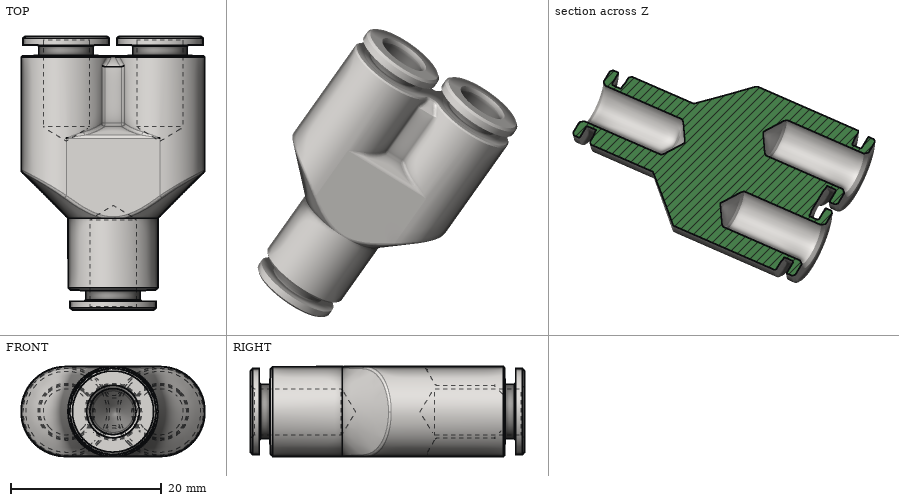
import cadquery as cq
import math

total_length = 36.5
total_width = 24.5
tube_radius = 6.0
port_offset = total_width / 2 - tube_radius

collar_length = 2.65
body_start = collar_length
body_end = total_length - collar_length
cone_start = 12.25
cone_tip = cone_start - tube_radius
cone_edge_radius = 0.5
single_end_chamfer = 0.35
twin_end_chamfer = 0.2

web_half_thickness = 3.5
channel_start = 22.9
channel_wall_angle = 60.0
channel_fillet = 0.5
web_slope_start = 32.4

flange_radius = 5.75
flange_thickness = 1.2
flange_face_radius = 5.4
flange_chamfer_length = 0.3
neck_radius = 3.65
neck_chamfer = 0.15
seat_radius = 4.0
seat_base_radius = 4.6
seat_height = 0.1

mouth_radius = 3.5
mouth_depth = 0.5
bore_radius = 3.07
stop_radius = 2.75
bore_depth = 12.0
drill_half_angle = 59.0


def revolve_about_y(points):
    """Revolve a closed (radius, y) outline about the Y axis."""
    return cq.Workplane("XY").polyline(points).close().revolve(360, (0, 0, 0), (0, 1, 0))


def make_single_tube():
    """Plain tube body of the single port, chamfered at its free end."""
    return (
        cq.Workplane("XZ", origin=(0, body_start, 0))
        .circle(tube_radius)
        .extrude(body_start - cone_start)
        .faces("<Y")
        .chamfer(single_end_chamfer)
    )


def make_twin_block():
    """Flat-sided block around both twin tubes, trimmed to a rounded-edge cone at its -Y end."""
    block = (
        cq.Workplane("XZ", origin=(0, cone_tip, 0))
        .slot2D(total_width, 2 * tube_radius)
        .extrude(cone_tip - body_end)
    )
    cone_end_radius = body_end - cone_tip
    cone = revolve_about_y([(0, cone_tip), (cone_end_radius, body_end), (0, body_end)])
    cone_limit = cone_tip + total_width / 2
    cone_edges = cq.selectors.BoxSelector(
        (-total_width, cone_tip, -total_width), (total_width, cone_limit, total_width)
    )
    trimmed_block = block.intersect(cone)
    return trimmed_block.edges(cone_edges).edges("not %LINE").fillet(cone_edge_radius)


def make_channel():
    """Space above the web and between the twin tubes, on the +Z side."""
    angle = math.radians(channel_wall_angle)
    corner_setback = channel_fillet * math.tan(angle / 2)
    arc_run = channel_fillet * math.sin(angle)
    arc_drop = channel_fillet * (1 - math.cos(angle))
    mid_run = channel_fillet * math.sin(angle / 2)
    mid_drop = channel_fillet * (1 - math.cos(angle / 2))
    wall_run = (tube_radius - web_half_thickness) / math.tan(angle)
    floor_start = channel_start + wall_run + 2 * corner_setback
    slope_drop = body_end - web_slope_start
    side_profile = (
        cq.Workplane("YZ", origin=(-port_offset, 0, 0))
        .moveTo(channel_start, tube_radius)
        .threePointArc(
            (channel_start + mid_run, tube_radius - mid_drop),
            (channel_start + arc_run, tube_radius - arc_drop),
        )
        .lineTo(floor_start - arc_run, web_half_thickness + arc_drop)
        .threePointArc(
            (floor_start - mid_run, web_half_thickness + mid_drop),
            (floor_start, web_half_thickness),
        )
        .lineTo(web_slope_start, web_half_thickness)
        .lineTo(body_end, web_half_thickness - slope_drop)
        .lineTo(body_end, tube_radius)
        .close()
        .extrude(2 * port_offset)
    )
    gap_half_width = port_offset - tube_radius
    diagonal = tube_radius * math.sqrt(0.5)
    gap_between_tubes = (
        cq.Workplane("XZ", origin=(0, cone_start, 0))
        .moveTo(-port_offset, tube_radius)
        .threePointArc((-port_offset + diagonal, diagonal), (-gap_half_width, 0))
        .lineTo(gap_half_width, 0)
        .threePointArc((port_offset - diagonal, diagonal), (port_offset, tube_radius))
        .close()
        .extrude(cone_start - body_end)
    )
    return side_profile.intersect(gap_between_tubes)


def make_twin_body():
    """Twin block with a round-edged channel on each flat side and its +Y end chamfered."""
    upper_space = cq.Workplane("XY").box(
        total_width, 2 * total_length, tube_radius, centered=(True, True, False)
    )
    upper_half = make_twin_block().intersect(upper_space).cut(make_channel())
    channel_edges = cq.selectors.BoxSelector(
        (-port_offset, channel_start, channel_fillet),
        (port_offset, body_end - channel_fillet, tube_radius),
    )
    upper_half = upper_half.edges(channel_edges).edges("not |X").fillet(channel_fillet)
    body = upper_half.union(upper_half.mirror("XY"))
    return body.faces(">Y").chamfer(twin_end_chamfer)


def make_collar():
    """Release collar of a port whose outer face lies at y = 0 and faces -Y."""
    return revolve_about_y([
        (0, 0),
        (flange_face_radius, 0),
        (flange_radius, flange_chamfer_length),
        (flange_radius, flange_thickness),
        (neck_radius + neck_chamfer, flange_thickness),
        (neck_radius, flange_thickness + neck_chamfer),
        (neck_radius, collar_length - seat_height),
        (seat_radius, collar_length - seat_height),
        (seat_base_radius, collar_length),
        (0, collar_length),
    ])


def make_bore():
    """Blind stepped hole of a port whose mouth lies at y = 0 and faces -Y."""
    stop_depth = bore_depth + bore_radius - stop_radius
    drill_depth = stop_depth + stop_radius / math.tan(math.radians(drill_half_angle))
    return revolve_about_y([
        (0, 0),
        (mouth_radius, 0),
        (bore_radius, mouth_depth),
        (bore_radius, bore_depth),
        (stop_radius, stop_depth),
        (0, drill_depth),
    ])


def at_twin_port(shape, side):
    """Turn a single-port shape to face +Y and move it to one of the twin ports."""
    return shape.rotate((0, 0, 0), (0, 0, 1), 180).translate((side * port_offset, total_length, 0))


collar = make_collar()
bore = make_bore()

result = make_twin_body().union(make_single_tube()).union(collar).cut(bore)
for side in (-1, 1):
    result = result.union(at_twin_port(collar, side)).cut(at_twin_port(bore, side))